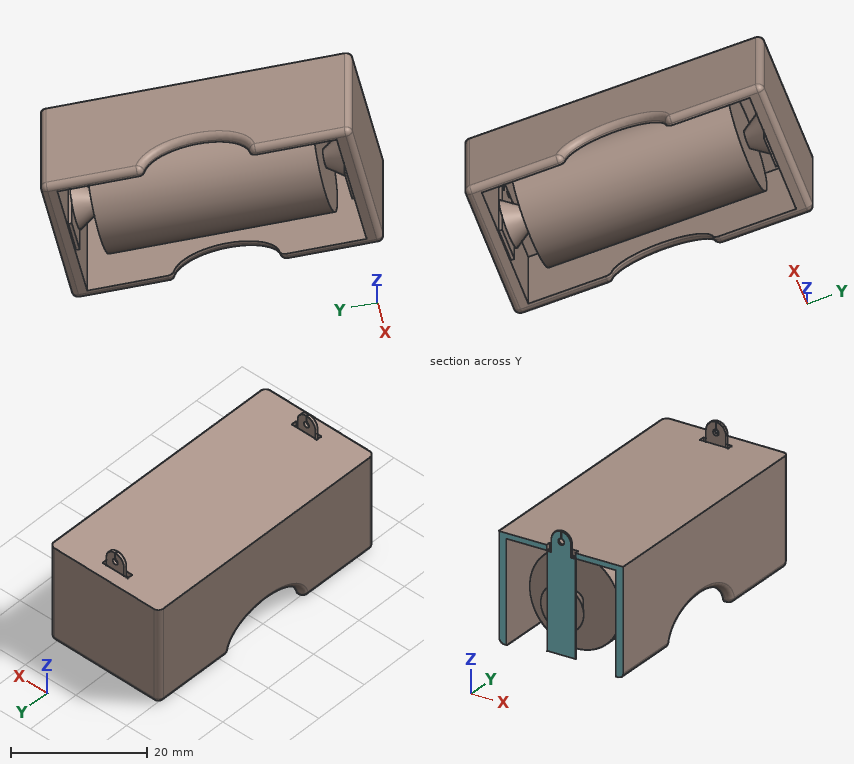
import cadquery as cq

housing_width = 21.75
housing_length = 47.0
housing_height = 18.5
turn_angle = -0.55
edge_radius = 1.0
end_wall = 2.4
side_wall = 1.35
roof = 1.0

notch_half_length = 8.05
notch_height = 5.15

slot_width = 5.0
slot_depth = 1.0

contact_bottom_z = 1.0
contact_thickness = 0.5
tab_width = 3.5
rear_tab_height = 3.45
front_tab_height = 2.9
tab_hole_diameter = 1.0
tab_slit_width = 0.1

cavity_width = housing_width - 2 * side_wall
cavity_length = housing_length - 2 * end_wall
cavity_height = housing_height - roof

battery_diameter = 16.05
battery_length = 34.1
battery_bottom_z = 0.5
battery_center_z = battery_bottom_z + battery_diameter / 2

boss_base_radius = 3.77
boss_tip_radius = 1.4
boss_length = (cavity_length - battery_length) / 2 - contact_thickness

REAR = 1
FRONT = -1

selection_margin = 0.05


def make_housing():
    body = (
        cq.Workplane("XY")
        .box(housing_width, housing_length, housing_height, centered=(True, True, False))
        .edges("|Z")
        .fillet(edge_radius)
    )
    cavity = cq.Workplane("XY").box(
        cavity_width, cavity_length, cavity_height, centered=(True, True, False)
    )
    notch = (
        cq.Workplane("YZ")
        .ellipse(notch_half_length, notch_height)
        .extrude(housing_width, both=True)
    )
    body = body.cut(cavity).cut(notch)
    body = body.edges(outer_bottom_edges()).fillet(edge_radius)
    for end in (REAR, FRONT):
        body = body.cut(make_slot(end))
    return body


def outer_bottom_edges():
    """Bottom outline of the housing, the notch rims on its sides, and the notch corners."""
    x_inner = cavity_width / 2 + selection_margin
    x_outer = housing_width / 2 + selection_margin
    y_inner = cavity_length / 2 + selection_margin
    y_outer = housing_length / 2 + selection_margin
    z_low = -selection_margin
    z_rim = notch_height + selection_margin
    z_floor = selection_margin
    box = cq.selectors.BoxSelector
    left_side = box((-x_outer, -y_outer, z_low), (-x_inner, y_outer, z_rim))
    right_side = box((x_inner, -y_outer, z_low), (x_outer, y_outer, z_rim))
    front_end = box((-x_outer, -y_outer, z_low), (x_outer, -y_inner, z_floor))
    rear_end = box((-x_outer, y_inner, z_low), (x_outer, y_outer, z_floor))
    return left_side + right_side + front_end + rear_end


def make_slot(end):
    slot_y = end * (cavity_length - slot_depth) / 2
    return (
        cq.Workplane("XY", origin=(0, slot_y, cavity_height))
        .rect(slot_width, slot_depth)
        .extrude(roof)
    )


def make_contact(end, tab_height):
    """Strip against the end wall, narrowing to a round-topped tab with a slit eyelet."""
    tab_radius = tab_width / 2
    eye_z = housing_height + tab_height - tab_radius
    half_strip = slot_width / 2
    middle_y = end * (cavity_length - contact_thickness) / 2
    plane = cq.Workplane("XZ", origin=(0, middle_y, 0))
    contact = (
        plane.moveTo(-half_strip, contact_bottom_z)
        .lineTo(half_strip, contact_bottom_z)
        .lineTo(half_strip, cavity_height)
        .lineTo(tab_radius, cavity_height)
        .lineTo(tab_radius, eye_z)
        .threePointArc((0, eye_z + tab_radius), (-tab_radius, eye_z))
        .lineTo(-tab_radius, cavity_height)
        .lineTo(-half_strip, cavity_height)
        .close()
        .extrude(contact_thickness / 2, both=True)
    )
    eye = plane.center(0, eye_z).circle(tab_hole_diameter / 2).extrude(contact_thickness, both=True)
    slit = (
        plane.center(0, eye_z + tab_radius / 2)
        .rect(tab_slit_width, tab_radius)
        .extrude(contact_thickness, both=True)
    )
    return contact.cut(eye).cut(slit).union(make_boss(end))


def make_boss(end):
    """Cone pointing inward from the contact strip to the battery end."""
    base_y = end * (battery_length / 2 + boss_length)
    cone = cq.Solid.makeCone(
        boss_base_radius,
        boss_tip_radius,
        boss_length,
        pnt=cq.Vector(0, base_y, battery_center_z),
        dir=cq.Vector(0, -end, 0),
    )
    return cq.Workplane(obj=cone)


def make_battery():
    return (
        cq.Workplane("XZ", origin=(0, battery_length / 2, battery_center_z))
        .circle(battery_diameter / 2)
        .extrude(battery_length)
    )


def turned(body):
    return body.rotate((0, 0, 0), (0, 0, 1), turn_angle)


housing = turned(make_housing())
battery = turned(make_battery())
contacts = []
for end, tab_height in ((REAR, rear_tab_height), (FRONT, front_tab_height)):
    contacts.append(turned(make_contact(end, tab_height)))

result = cq.Compound.makeCompound(
    [housing.val(), battery.val(), *[contact.val() for contact in contacts]]
)